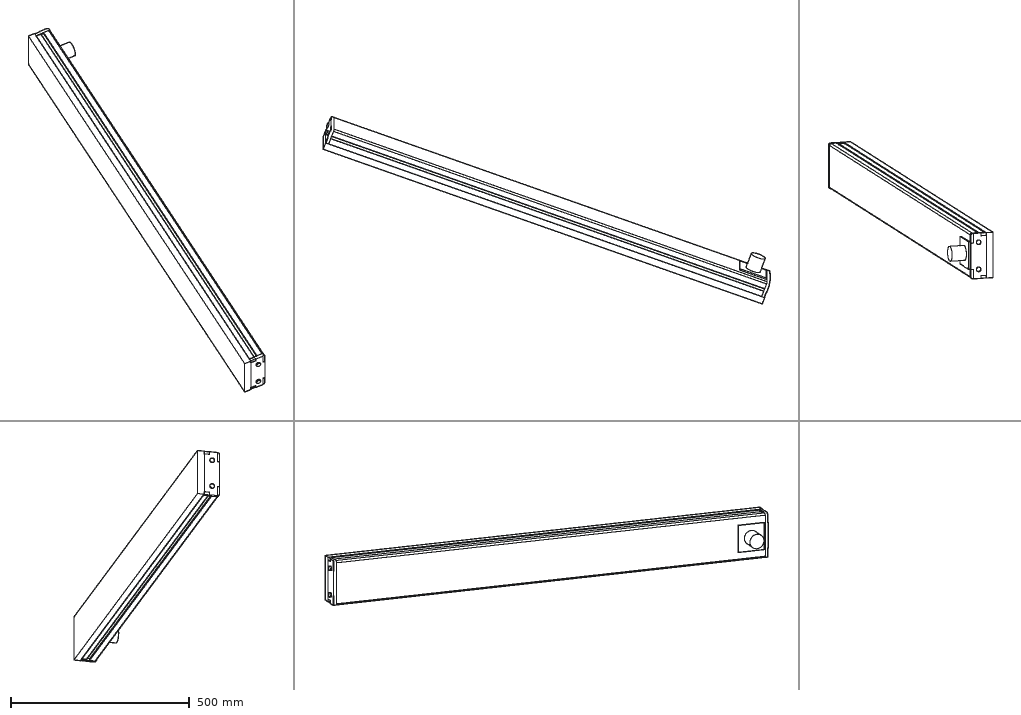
import cadquery as cq

overall_length = 1312.0
height = 130.0
overall_depth = 110.0

panel_depth = 20.0

frame_back = 64.0
cap_thickness = 9.0

front_ledge_drop = 3.0
groove_front = 35.0
groove_back = 43.0
groove_depth = 5.0
back_chamfer = 5.0

cap_edge_radius = 5.0
recess_depth = 1.0
front_recess_height = 8.0
back_recess_start = 58.0
back_recess_height = 28.0

screw_diameter = 13.0
screw_head_height = 4.0
screw_spacing = 77.0
screw_y = 42.0

connector_x = 52.0
flange_size = 79.0
flange_thickness = 4.0
plug_diameter = 42.0

bar_length = overall_length - screw_head_height
profile_length = bar_length - 2 * cap_thickness
half_height = height / 2
frame_depth = frame_back - panel_depth


def make_panel():
    return cq.Workplane("XY").box(bar_length, panel_depth, height, centered=(False, False, True))


def make_profile():
    """Profile that fits between the caps; its section is the same above and below Z = 0."""
    upper_half = [
        (panel_depth, half_height - front_ledge_drop),
        (groove_front, half_height - front_ledge_drop),
        (groove_front, half_height - groove_depth),
        (groove_back, half_height - groove_depth),
        (groove_back, half_height),
        (frame_back - back_chamfer, half_height),
        (frame_back, half_height - back_chamfer),
    ]
    lower_half = [(y, -z) for y, z in reversed(upper_half)]
    section = cq.Workplane("YZ", origin=(cap_thickness, 0, 0)).polyline(upper_half + lower_half)
    return section.close().extrude(profile_length)


def face_recess(y_start, y_end, recess_height, side):
    """Block that lowers one edge of a cap's outer face; side is 1 at the top, -1 at the bottom."""
    center_z = side * (half_height - recess_height / 2)
    return (
        cq.Workplane("XY", origin=(0, y_start, center_z))
        .box(recess_depth, y_end - y_start, recess_height, centered=(False, False, True))
    )


def make_cap_blank():
    """Left-hand cap without screws, with its outer face at X = 0."""
    cap = (
        cq.Workplane("XY", origin=(0, panel_depth, 0))
        .box(cap_thickness, frame_depth, height, centered=(False, False, True))
        .edges(">Y and |X")
        .fillet(cap_edge_radius)
    )
    for side in (1, -1):
        cap = cap.cut(face_recess(panel_depth, groove_front, front_recess_height, side))
        cap = cap.cut(face_recess(back_recess_start, frame_back, back_recess_height, side))
    return cap


def make_screw_cylinders(start_x):
    """Two short cylinders along +X, the shape of the screw heads and of their sockets."""
    return (
        cq.Workplane("YZ", origin=(start_x, screw_y, 0))
        .rarray(13, screw_spacing, 1, 2)
        .circle(screw_diameter / 2)
        .extrude(screw_head_height)
    )


def make_left_cap():
    return make_cap_blank().cut(make_screw_cylinders(0))


def make_right_cap():
    cap = make_cap_blank().mirror("YZ").translate((bar_length, 0, 0))
    return cap.union(make_screw_cylinders(bar_length))


def make_connector():
    """Square flange on the back of the profile with a round plug pointing along +Y."""
    flange = (
        cq.Workplane("XY", origin=(connector_x, frame_back, 0))
        .box(flange_size, flange_thickness, flange_size, centered=(True, False, True))
    )
    plug_length = overall_depth - frame_back - flange_thickness
    plug = flange.faces(">Y").workplane(centerOption="CenterOfBoundBox").circle(plug_diameter / 2)
    return plug.extrude(plug_length)


panel = make_panel()
profile = make_profile()
left_cap = make_left_cap()
right_cap = make_right_cap()
connector = make_connector()

result = cq.Compound.makeCompound(
    [panel.val(), profile.val(), left_cap.val(), right_cap.val(), connector.val()]
)